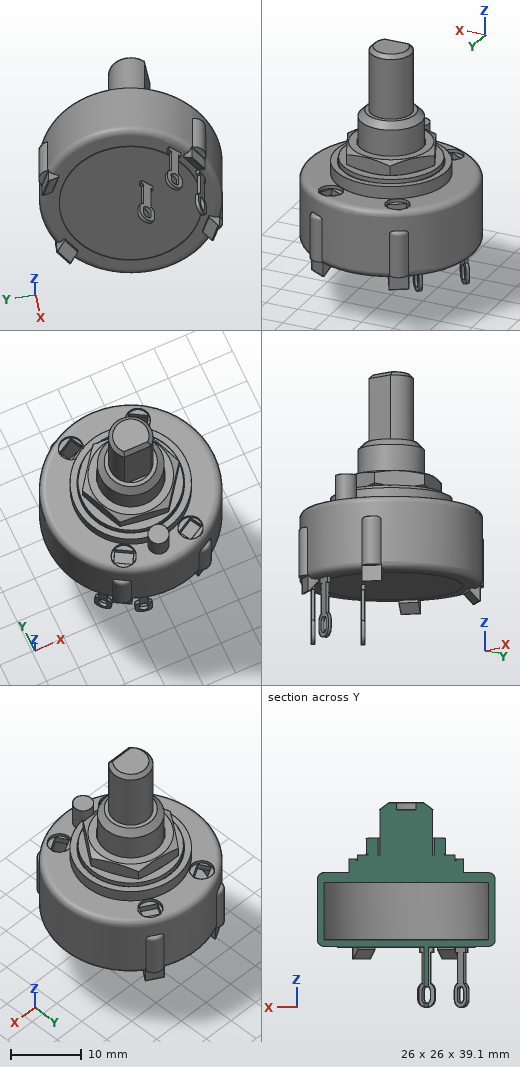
import cadquery as cq
import math


HOUSING_D = 26.0
TOP_FACE_D = 24.0
HOUSING_BOTTOM = 8.65
HOUSING_TOP = 19.2
HOUSING_FILLET = (HOUSING_D - TOP_FACE_D) / 2
WALL = HOUSING_FILLET
TOP_PLATE = 1.45
CAVITY_BOTTOM = HOUSING_BOTTOM + WALL
BASE_DISC_D = 20.35
BASE_DISC_DROP = 0.1

COLLAR_D = 17.3
COLLAR_TOP = 21.1
RECESS_D = 15.3
RECESS_DEPTH = 0.2
WASHER_D = 15.0
WASHER_TOP = 21.7
NUT_FLATS = 12.55
NUT_HEIGHT = 2.42
NUT_FACE_D = 12.15
NUT_CHAMFER_DROP = 0.45
NUT_TURN = -6.5
NUT_BORE_D = 9.78

BUSHING_D = 9.5
BUSHING_TOP = 29.15
BUSHING_CHAMFER = 0.98
SHAFT_D = 6.35
SHAFT_TOP = 39.1
SHAFT_FLAT_Y = -2.4
SHAFT_CHAMFER = 0.6
SHAFT_FLAT_SINK = 1.0

PIN_D = 3.0
PIN_Y = -9.5
PIN_TOP = 23.15

CLIP_ANGLES = (60, 120, 240, 300)
CLIP_WIDTH = 2.8
RIB_CENTRE_R = 12.12
RIB_RADIUS = 1.585
RIB_BOTTOM = 9.15
RIB_TOP = 16.2
RIB_FILLET = 0.5
FOOT_OUTER_R = 12.83
FOOT_BOTTOM = 6.9
FOOT_TIP_LENGTH = 0.2
HOOK_LENGTH = 1.55
HOOK_SLOPE_TOP = 8.25
WINDOW_R = 10.45
WINDOW_RECESS_D = 3.55
WINDOW_RECESS_DEPTH = 0.5
WINDOW_LENGTH = 2.05
WINDOW_WIDTH = 2.75

LUG_PLACES = ((4.03, 225), (11.15, 225), (11.15, 255))
LUG_THICKNESS = 0.5
EYE_WIDTH = 2.5
EYE_HEIGHT = 3.6
EYE_WALL = 0.63
STEM_WIDTH = 1.25
SHOULDER_WIDTH = 2.0
SHOULDER_BOTTOM = 7.82

OVERLAP = 0.8


def cylinder(diameter, bottom, top):
    return cq.Workplane("XY").workplane(offset=bottom).circle(diameter / 2).extrude(top - bottom)


def turned(shape, angle):
    """Turn a shape about the switch axis."""
    return shape.rotate((0, 0, 0), (0, 0, 1), angle)


def make_housing():
    """Hollow rounded housing with a recessed collar on top."""
    body = cylinder(HOUSING_D, HOUSING_BOTTOM, HOUSING_TOP).edges().fillet(HOUSING_FILLET)
    disc = cylinder(BASE_DISC_D, HOUSING_BOTTOM - BASE_DISC_DROP, HOUSING_BOTTOM + OVERLAP)
    collar = cylinder(COLLAR_D, HOUSING_TOP - OVERLAP, COLLAR_TOP)
    recess = cylinder(RECESS_D, COLLAR_TOP - RECESS_DEPTH, COLLAR_TOP)
    cavity = cylinder(HOUSING_D - 2 * WALL, CAVITY_BOTTOM, HOUSING_TOP - TOP_PLATE)
    return body.union(disc).union(collar).cut(recess).cut(cavity)


def make_nut():
    """Hexagon nut, chamfered on both faces by a turned cone."""
    corner_r = NUT_FLATS / math.sqrt(3)
    face_r = NUT_FACE_D / 2
    prism = cq.Workplane("XY").polygon(6, 2 * corner_r).extrude(NUT_HEIGHT)
    envelope = (
        cq.Workplane("XZ")
        .moveTo(0, 0)
        .lineTo(face_r, 0)
        .lineTo(corner_r, NUT_CHAMFER_DROP)
        .lineTo(corner_r, NUT_HEIGHT - NUT_CHAMFER_DROP)
        .lineTo(face_r, NUT_HEIGHT)
        .lineTo(0, NUT_HEIGHT)
        .close()
        .revolve(360, (0, 0, 0), (0, 1, 0))
    )
    nut = prism.intersect(envelope).cut(cylinder(NUT_BORE_D, 0, NUT_HEIGHT))
    return turned(nut, NUT_TURN).translate((0, 0, WASHER_TOP))


def make_shaft():
    """D-shaped shaft with a chamfered end; its flat runs down inside the bushing."""
    flat_bottom = BUSHING_TOP - SHAFT_FLAT_SINK
    shaft = cylinder(SHAFT_D, flat_bottom, SHAFT_TOP)
    flat = (
        cq.Workplane("XY")
        .box(SHAFT_D, SHAFT_D, SHAFT_TOP - flat_bottom, centered=(True, False, False))
        .translate((0, SHAFT_FLAT_Y - SHAFT_D, flat_bottom))
    )
    return shaft.cut(flat).faces(">Z").chamfer(SHAFT_CHAMFER)


def make_clip():
    """Rounded rib and hooked foot, built on the +X side."""
    rib = (
        cylinder(2 * RIB_RADIUS, RIB_BOTTOM, RIB_TOP)
        .faces(">Z")
        .edges()
        .fillet(RIB_FILLET)
        .translate((RIB_CENTRE_R, 0, 0))
    )
    trim = cq.Workplane("XY").box(2 * RIB_RADIUS, CLIP_WIDTH, RIB_TOP, centered=(False, True, False))
    rib = rib.intersect(trim.translate((RIB_CENTRE_R, 0, 0)))
    hook_r = FOOT_OUTER_R - HOOK_LENGTH
    foot = (
        cq.Workplane("XZ")
        .moveTo(FOOT_OUTER_R, FOOT_BOTTOM)
        .lineTo(FOOT_OUTER_R, CAVITY_BOTTOM)
        .lineTo(hook_r, CAVITY_BOTTOM)
        .lineTo(hook_r, HOOK_SLOPE_TOP)
        .lineTo(FOOT_OUTER_R - FOOT_TIP_LENGTH, FOOT_BOTTOM)
        .close()
        .extrude(CLIP_WIDTH / 2, both=True)
    )
    return rib.union(foot)


def make_window():
    """Round recess with a rectangular opening into the cavity, built on the +X side."""
    recess = cylinder(WINDOW_RECESS_D, HOUSING_TOP - WINDOW_RECESS_DEPTH, HOUSING_TOP)
    opening = (
        cq.Workplane("XY")
        .workplane(offset=HOUSING_TOP - TOP_PLATE)
        .rect(WINDOW_LENGTH, WINDOW_WIDTH)
        .extrude(TOP_PLATE)
    )
    return recess.union(opening).translate((WINDOW_R, 0, 0))


def make_lug(radius):
    """Flat solder lug facing +X: shoulder, stem and slotted eye."""

    def strip(width, bottom, top):
        return (
            cq.Workplane("YZ")
            .center(0, (bottom + top) / 2)
            .rect(width, top - bottom)
            .extrude(LUG_THICKNESS / 2, both=True)
        )

    def slot(width, height):
        return (
            cq.Workplane("YZ")
            .center(0, EYE_HEIGHT / 2)
            .slot2D(height, width, 90)
            .extrude(LUG_THICKNESS / 2, both=True)
        )

    lug_top = HOUSING_BOTTOM + OVERLAP
    lug = (
        strip(STEM_WIDTH, EYE_HEIGHT / 2, lug_top)
        .union(strip(SHOULDER_WIDTH, SHOULDER_BOTTOM, lug_top))
        .union(slot(EYE_WIDTH, EYE_HEIGHT))
        .cut(slot(EYE_WIDTH - 2 * EYE_WALL, EYE_HEIGHT - 2 * EYE_WALL))
    )
    return lug.translate((radius, 0, 0))


def make_bushing():
    """Chamfered bushing with a blind bore around the shaft."""
    bushing = cylinder(BUSHING_D, COLLAR_TOP - OVERLAP, BUSHING_TOP).faces(">Z").chamfer(BUSHING_CHAMFER)
    return bushing.cut(cylinder(SHAFT_D, BUSHING_TOP - SHAFT_FLAT_SINK, BUSHING_TOP))


result = make_housing()
for clip_angle in CLIP_ANGLES:
    result = result.union(turned(make_clip(), clip_angle))
    result = result.cut(turned(make_window(), clip_angle))
for lug_radius, lug_angle in LUG_PLACES:
    result = result.union(turned(make_lug(lug_radius), lug_angle))

washer = cylinder(WASHER_D, COLLAR_TOP - RECESS_DEPTH, WASHER_TOP)
pin = cylinder(PIN_D, HOUSING_TOP - OVERLAP, PIN_TOP).translate((0, PIN_Y, 0))
for piece in (washer, make_nut(), make_bushing(), make_shaft(), pin):
    result = result.union(piece)